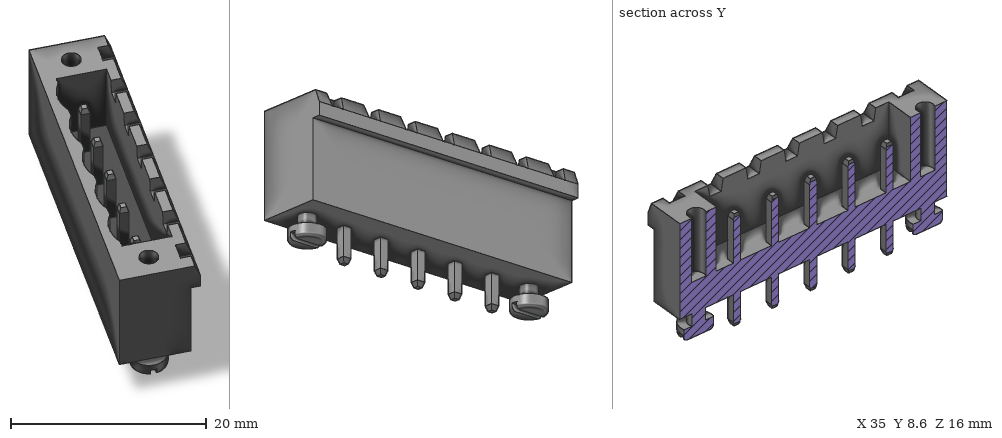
import cadquery as cq
import math


length = 35.0
depth = 7.6
height = 12.0

lip_overhang = 1.0
lip_height = 3.0
lip_slope_depth = 0.6
lip_slope_height = 1.5

pitch = 5.0
pin_count = 5
row_y = depth / 2
pin_positions = [(i - (pin_count - 1) / 2) * pitch for i in range(pin_count)]
screw_x = (pin_count + 1) / 2 * pitch
screw_positions = [-screw_x, screw_x]

cavity_length = 25.4
cavity_front_y = 1.6
cavity_back_y = 6.9
cavity_floor_z = 4.0
scallop_width = 4.1
scallop_depth = 0.6

notch_top_width = 2.0
notch_floor_width = 1.5
notch_depth = 1.5
notch_positions = [-screw_x] + pin_positions + [screw_x]

pin_width = 1.0
pin_tip_width = 0.6
pin_tip_length = 0.6
pin_bottom_z = -4.0
pin_top_z = 10.0

shank_diameter = 2.0
head_diameter = 4.0
head_top_z = -1.5
head_height = 1.5
head_bottom_z = head_top_z - head_height
head_edge_radius = 0.5
slot_width = 0.7
slot_depth = 0.8
bore_diameter = 2.0
bore_depth = 8.0


def make_housing():
    """Housing with the sloped latch lip, extruded along X from its YZ profile."""
    lip_y = depth + lip_overhang
    profile = [
        (0, 0),
        (depth, 0),
        (depth, height - lip_height),
        (lip_y, height - lip_height),
        (lip_y, height - lip_slope_height),
        (lip_y - lip_slope_depth, height),
        (0, height),
    ]
    return cq.Workplane("YZ").polyline(profile).close().extrude(length / 2, both=True)


def make_cavity():
    """Open-topped cavity whose front edge has one arc per pin."""
    half_length = cavity_length / 2
    outline = cq.Workplane("XY", origin=(0, 0, cavity_floor_z))
    outline = outline.moveTo(-half_length, cavity_back_y).lineTo(-half_length, cavity_front_y)
    for x in pin_positions:
        outline = outline.lineTo(x - scallop_width / 2, cavity_front_y)
        outline = outline.threePointArc(
            (x, cavity_front_y - scallop_depth),
            (x + scallop_width / 2, cavity_front_y),
        )
    outline = outline.lineTo(half_length, cavity_front_y).lineTo(half_length, cavity_back_y)
    return outline.close().extrude(height - cavity_floor_z)


def make_notch(x):
    """Notch from the cavity's back face out through the lip, narrower at its floor."""
    floor_z = height - notch_depth
    profile = [
        (x - notch_floor_width / 2, floor_z),
        (x + notch_floor_width / 2, floor_z),
        (x + notch_top_width / 2, height),
        (x - notch_top_width / 2, height),
    ]
    notch_length = depth + lip_overhang - cavity_back_y
    plane = cq.Workplane("XZ", origin=(0, cavity_back_y, 0))
    return plane.polyline(profile).close().extrude(-notch_length)


def make_pin(x):
    """Square pin tapered at both ends."""
    pin_length = pin_top_z - pin_bottom_z
    straight_length = pin_length - 2 * pin_tip_length
    taper_angle = math.degrees(math.atan((pin_width - pin_tip_width) / 2 / pin_tip_length))
    lower_end = cq.Workplane("XY", origin=(x, row_y, pin_bottom_z + pin_tip_length))
    upper_end = cq.Workplane("XY", origin=(x, row_y, pin_top_z - pin_tip_length))
    shaft = lower_end.rect(pin_width, pin_width).extrude(straight_length)
    lower_tip = lower_end.rect(pin_width, pin_width).extrude(-pin_tip_length, taper=taper_angle)
    upper_tip = upper_end.rect(pin_width, pin_width).extrude(pin_tip_length, taper=taper_angle)
    return shaft.union(lower_tip).union(upper_tip)


def make_screw(x):
    """Screw shank and rounded head with a driver slot along X."""
    head_base = cq.Workplane("XY", origin=(x, row_y, head_bottom_z))
    head = head_base.circle(head_diameter / 2).extrude(head_height)
    head = head.faces("<Z").edges().fillet(head_edge_radius)
    slot = head_base.rect(head_diameter, slot_width).extrude(slot_depth)
    shank = cq.Workplane("XY", origin=(x, row_y, head_top_z)).circle(shank_diameter / 2).extrude(-head_top_z)
    return head.cut(slot).union(shank)


def make_bore(x):
    """Blind bore in the housing top, in line with the screw."""
    return cq.Workplane("XY", origin=(x, row_y, height)).circle(bore_diameter / 2).extrude(-bore_depth)


result = make_housing().cut(make_cavity())
for x_position in notch_positions:
    result = result.cut(make_notch(x_position))
for x_position in pin_positions:
    result = result.union(make_pin(x_position))
for x_position in screw_positions:
    result = result.cut(make_bore(x_position)).union(make_screw(x_position))